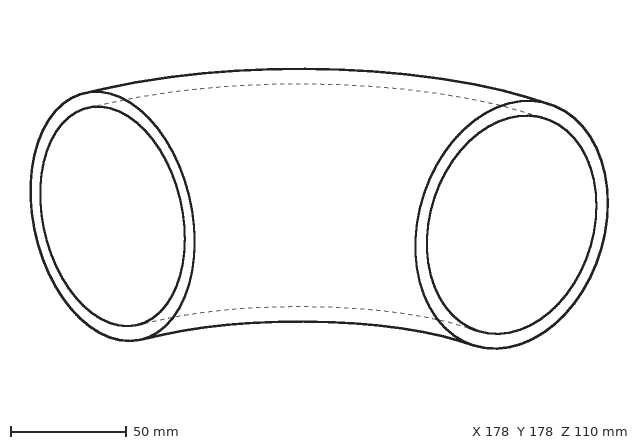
import cadquery as cq

overall_length = 178.0
outer_diameter = 110.0
inner_diameter = 96.8
bend_radius = outer_diameter
collar_length = overall_length - bend_radius - outer_diameter / 2


def swept_elbow(diameter):
    """Solid round bar along the elbow centreline, from the -Y mouth to the +X mouth."""
    collar_y = cq.Workplane("XZ").circle(diameter / 2).extrude(collar_length)
    bend = (
        cq.Workplane("XZ")
        .circle(diameter / 2)
        .revolve(90, (bend_radius, 0, 0), (bend_radius, -1, 0))
    )
    collar_x = (
        cq.Workplane("YZ", origin=(bend_radius, bend_radius, 0))
        .circle(diameter / 2)
        .extrude(collar_length)
    )
    return collar_y.union(bend).union(collar_x)


result = swept_elbow(outer_diameter).cut(swept_elbow(inner_diameter))